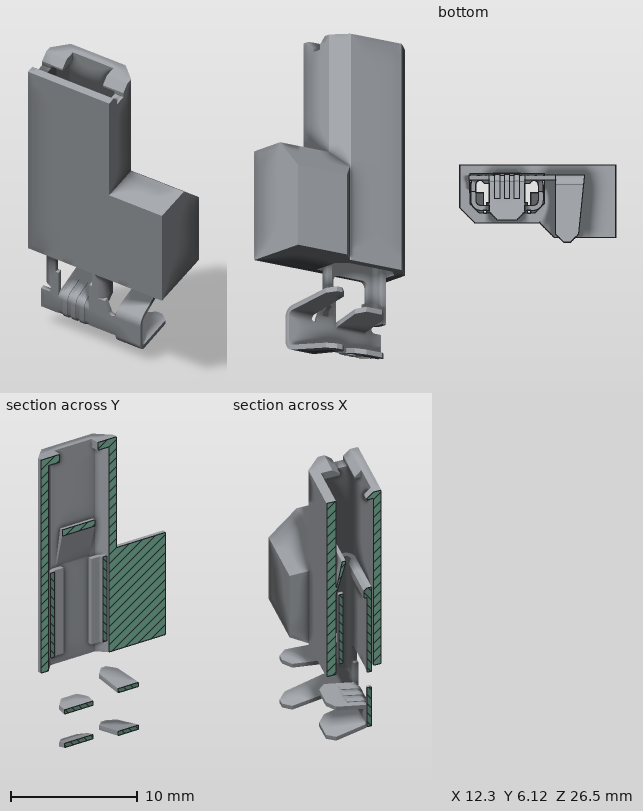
import cadquery as cq
import math

length_x = 12.32
top_z = 26.5
housing_bottom_z = 7.97
sleeve_width = 7.47
sleeve_depth = 4.6
sleeve_chamfer = 1.22
wall = 0.8
front_wall = 0.7
center_x = sleeve_width / 2

flange_top_z = 16.87
flange_depth = 5.75
flange_slope_y = sleeve_depth - sleeve_chamfer

top_web = 0.72
mouth_width = 3.7
slot_front_y = 1.25
slot_rear_y = 2.2
slot_depth = 0.98
lead_in = 0.55
lead_in_rear_y = 2.83
notch_width = 2.17

lance_width = 3.23
lance_height = 3.45
lance_front_y = 3.0
lance_thickness = 0.32

sheet = 0.4
terminal_front_y = 0.82
terminal_rear_y = terminal_front_y + sheet
receptacle_width = 5.72
receptacle_rear_y = 2.1
receptacle_radius = 0.8
receptacle_top_z = 16.42
roll_rear_y = 3.6
roll_bottom_z = 9.0
roll_gap = 2.75
receptacle_left_x = center_x - receptacle_width / 2
receptacle_right_x = center_x + receptacle_width / 2
left_leg_end_z = 4.1
right_leg_end_z = 4.77

strap_left_x = 0.72
strap_step_x = 6.95
relief_radius = 0.32

window_width = 3.35
window_top_z = 7.63
window_step_z = 5.8
window_radius = 0.48

ridge_rear_y = 1.48
ridge_width = 4.08
ridge_height = 1.05

wire_crimp_width = 2.83
wire_flat_half = 0.64
wire_bend_radius = 0.64
wire_ear_angle = math.radians(13)
wire_tip_y = 4.35
wire_tip_bevel = 0.64

rib_count = 3
rib_width = 0.42
rib_pitch = 0.77
rib_height = 0.08
rib_end_y = 2.65

jacket_left_x = strap_step_x + 2 * relief_radius
jacket_right_x = 9.85
jacket_flat_half = 0.95
jacket_bend_radius = 0.87
jacket_ear_angle = math.radians(9)
jacket_tip_y = 6.12
jacket_tip_bevel = 0.64
jacket_shoulder_right_x = 9.38


def box(x0, x1, y0, y1, z0, z1):
    """Axis-aligned block between two opposite corners."""
    return cq.Workplane("XY").box(x1 - x0, y1 - y0, z1 - z0, centered=False).translate((x0, y0, z0))


def prism_x(points, x0, x1):
    """Closed (y, z) outline extruded along X."""
    return cq.Workplane("YZ", origin=(x0, 0, 0)).polyline(points).close().extrude(x1 - x0)


def prism_z(points, z0, z1):
    """Closed (x, y) outline extruded along Z."""
    return cq.Workplane("XY", origin=(0, 0, z0)).polyline(points).close().extrude(z1 - z0)


def chamfered_outline(x0, x1, y0, y1, chamfer):
    """Rectangle with both rear corners chamfered."""
    return [
        (x0, y0),
        (x1, y0),
        (x1, y1 - chamfer),
        (x1 - chamfer, y1),
        (x0 + chamfer, y1),
        (x0, y1 - chamfer),
    ]


def make_flange():
    """Side block whose rear blends at 45 degrees into the sleeve and whose top slopes to the rear."""
    blend = flange_depth - sleeve_depth
    outline = [
        (sleeve_width - blend, 0),
        (length_x, 0),
        (length_x, flange_depth),
        (sleeve_width, flange_depth),
        (sleeve_width - blend, sleeve_depth),
    ]
    slope_drop = flange_depth - flange_slope_y
    slope = [
        (flange_slope_y, flange_top_z),
        (flange_depth, flange_top_z),
        (flange_depth, flange_top_z - slope_drop),
    ]
    block = prism_z(outline, housing_bottom_z, flange_top_z)
    return block.cut(prism_x(slope, 0, length_x))


def make_cavity():
    """Cavity open at the bottom, a constant wall thickness inside the sleeve's sides and rear."""
    inner_chamfer = sleeve_chamfer - wall * (2 - math.sqrt(2))
    outline = chamfered_outline(wall, sleeve_width - wall, front_wall, sleeve_depth - wall, inner_chamfer)
    return prism_z(outline, housing_bottom_z, top_z - top_web)


def make_tab_slot():
    """Slot across the top with lead-in slopes on both long edges."""
    lead_in_z = top_z - lead_in
    profile = [
        (front_wall, top_z),
        (slot_front_y, lead_in_z),
        (slot_front_y, top_z - slot_depth),
        (slot_rear_y, top_z - slot_depth),
        (slot_rear_y, lead_in_z),
        (lead_in_rear_y, top_z),
    ]
    return prism_x(profile, 0, sleeve_width)


def make_top_openings():
    """Mouth behind the slot and notch in front of it, both through the top web."""
    web_bottom_z = top_z - top_web
    mouth = box(center_x - mouth_width / 2, center_x + mouth_width / 2,
                slot_front_y, sleeve_depth - wall, web_bottom_z, top_z)
    notch = box(center_x - notch_width / 2, center_x + notch_width / 2,
                front_wall, slot_front_y, web_bottom_z, top_z)
    return mouth.union(notch)


def make_lance():
    """Latch above the receptacle that leans forward from the rear cavity wall."""
    root_y = sleeve_depth - wall
    lance_bottom_z = receptacle_top_z
    lance_top_z = lance_bottom_z + lance_height
    profile = [
        (root_y, lance_bottom_z),
        (lance_front_y, lance_top_z - lance_thickness),
        (lance_front_y, lance_top_z),
        (lance_front_y + lance_thickness, lance_top_z),
        (root_y, lance_bottom_z + 2 * lance_thickness),
    ]
    return prism_x(profile, center_x - lance_width / 2, center_x + lance_width / 2)


def make_housing():
    outline = chamfered_outline(0, sleeve_width, 0, sleeve_depth, sleeve_chamfer)
    body = prism_z(outline, housing_bottom_z, top_z).union(make_flange())
    body = body.cut(make_cavity()).cut(make_tab_slot()).cut(make_top_openings())
    return body.union(make_lance())


def ear_height(flat_half, bend_radius, angle, tip_y):
    """Distance from the crimp's middle to the outside of an ear at tip_y."""
    bend_end_y = terminal_front_y + bend_radius * (1 - math.sin(angle))
    return flat_half + bend_radius * math.cos(angle) + (tip_y - bend_end_y) * math.tan(angle)


crimp_z = ear_height(jacket_flat_half, jacket_bend_radius, jacket_ear_angle, jacket_tip_y)
strap_bottom_z = crimp_z - jacket_flat_half
strap_top_z = crimp_z + jacket_flat_half


def make_crimp(x0, x1, front_y, thickness, flat_half, bend_radius, angle, tip_y):
    """Open U barrel: a flat back, two bends and two ears that spread by the given angle."""
    bend_y = front_y + bend_radius

    def half_outline(radius):
        """Bend middle, bend end and tip of the upper half, for one face of the sheet."""
        sweep = math.pi / 2 - angle
        middle = (bend_y - radius * math.cos(sweep / 2), flat_half + radius * math.sin(sweep / 2))
        end = (bend_y - radius * math.cos(sweep), flat_half + radius * math.sin(sweep))
        tip = (tip_y, end[1] + (tip_y - end[0]) * math.tan(angle))
        return middle, end, tip

    def mirrored(point):
        return (point[0], -point[1])

    inner_radius = bend_radius - thickness
    rear_y = front_y + thickness
    outer_middle, outer_end, outer_tip = half_outline(bend_radius)
    inner_middle, inner_end, inner_tip = half_outline(inner_radius)
    return (
        cq.Workplane("YZ", origin=(x0, 0, crimp_z))
        .moveTo(front_y, -flat_half)
        .lineTo(front_y, flat_half)
        .threePointArc(outer_middle, outer_end)
        .lineTo(*outer_tip)
        .lineTo(*inner_tip)
        .lineTo(*inner_end)
        .threePointArc(inner_middle, (rear_y, flat_half))
        .lineTo(rear_y, -flat_half)
        .threePointArc(mirrored(inner_middle), mirrored(inner_end))
        .lineTo(*mirrored(inner_tip))
        .lineTo(*mirrored(outer_tip))
        .lineTo(*mirrored(outer_end))
        .threePointArc(mirrored(outer_middle), (front_y, -flat_half))
        .close()
        .extrude(x1 - x0)
    )


def make_wire_crimp():
    """Crimp for the bare wire, with bevelled ear tips and raised ribs around the outside."""
    x0 = center_x - wire_crimp_width / 2
    x1 = center_x + wire_crimp_width / 2
    crimp = make_crimp(x0, x1, terminal_front_y, sheet, wire_flat_half,
                       wire_bend_radius, wire_ear_angle, wire_tip_y)
    plan = chamfered_outline(x0, x1, 0, wire_tip_y, wire_tip_bevel)
    crimp = crimp.intersect(prism_z(plan, 0, 2 * crimp_z))
    for index in range(rib_count):
        rib_x = center_x + (index - (rib_count - 1) / 2) * rib_pitch
        rib = make_crimp(rib_x - rib_width / 2, rib_x + rib_width / 2, terminal_front_y - rib_height,
                         sheet, wire_flat_half, wire_bend_radius + rib_height,
                         wire_ear_angle, rib_end_y)
        crimp = crimp.union(rib)
    return crimp


def make_jacket_crimp():
    """Crimp for the wire insulation, with ears that narrow on one side and end in bevels."""
    crimp = make_crimp(jacket_left_x, jacket_right_x, terminal_front_y, sheet, jacket_flat_half,
                       jacket_bend_radius, jacket_ear_angle, jacket_tip_y)
    shoulder_y = jacket_tip_y - jacket_tip_bevel
    plan = [
        (jacket_left_x, terminal_front_y),
        (jacket_right_x, terminal_front_y),
        (jacket_shoulder_right_x, shoulder_y),
        (jacket_shoulder_right_x - jacket_tip_bevel, jacket_tip_y),
        (jacket_left_x + jacket_tip_bevel, jacket_tip_y),
        (jacket_left_x, shoulder_y),
    ]
    return crimp.intersect(prism_z(plan, 0, 2 * crimp_z))


def make_channel():
    """U-shaped receptacle; the left leg is cut square and the right leg runs out along a slope."""
    outer = box(receptacle_left_x, receptacle_right_x, terminal_front_y, receptacle_rear_y,
                strap_top_z, receptacle_top_z)
    outer = outer.edges("|Z and <Y").fillet(receptacle_radius)
    inner = box(receptacle_left_x + sheet, receptacle_right_x - sheet, terminal_rear_y,
                receptacle_rear_y, strap_top_z, receptacle_top_z)
    channel = outer.cut(inner.edges("|Z and <Y").fillet(receptacle_radius - sheet))

    left_end = box(receptacle_left_x, receptacle_left_x + receptacle_radius, terminal_front_y,
                   receptacle_rear_y, strap_top_z, left_leg_end_z)
    run_out_z = strap_top_z + relief_radius
    run_out = [
        (terminal_front_y, strap_top_z),
        (terminal_front_y, run_out_z),
        (receptacle_rear_y, right_leg_end_z),
        (receptacle_rear_y, strap_top_z),
    ]
    right_end = prism_x(run_out, center_x, receptacle_right_x)
    return channel.cut(left_end).cut(right_end)


def make_rolls():
    """Upper part of the receptacle, where both legs roll inwards to clasp the mating tab."""
    outer = box(receptacle_left_x, receptacle_right_x, terminal_front_y, roll_rear_y,
                roll_bottom_z, receptacle_top_z)
    inner = box(receptacle_left_x + sheet, receptacle_right_x - sheet, terminal_rear_y,
                roll_rear_y - sheet, roll_bottom_z, receptacle_top_z)
    shell = outer.edges("|Z").fillet(receptacle_radius)
    shell = shell.cut(inner.edges("|Z").fillet(receptacle_radius - sheet))
    gap = box(center_x - roll_gap / 2, center_x + roll_gap / 2, terminal_rear_y, roll_rear_y,
              roll_bottom_z, receptacle_top_z)
    return shell.cut(gap)


def make_strap():
    """Flat strap below the receptacle, with round reliefs beside the left leg and the jacket crimp."""
    shoulder_z = strap_top_z + relief_radius
    left_relief_x = receptacle_left_x + receptacle_radius - relief_radius
    outline = [
        (strap_left_x, strap_bottom_z),
        (jacket_left_x, strap_bottom_z),
        (jacket_left_x, shoulder_z),
        (strap_step_x, shoulder_z),
        (receptacle_right_x, right_leg_end_z),
        (receptacle_left_x + receptacle_radius, right_leg_end_z),
        (receptacle_left_x + receptacle_radius, left_leg_end_z),
        (left_relief_x, left_leg_end_z),
        (left_relief_x, strap_top_z),
        (strap_left_x, strap_top_z),
    ]
    plane = cq.Workplane("XZ", origin=(0, terminal_rear_y, 0))
    strap = plane.polyline(outline).close().extrude(sheet)
    reliefs = (
        plane.pushPoints([(left_relief_x, shoulder_z), (strap_step_x + relief_radius, shoulder_z)])
        .circle(relief_radius)
        .extrude(sheet)
    )
    return strap.cut(reliefs)


def make_window():
    """Window between receptacle and wire crimp: rounded on top, as narrow as the crimp below."""
    head = box(center_x - window_width / 2, center_x + window_width / 2,
               terminal_front_y, terminal_rear_y, window_step_z, window_top_z)
    head = head.edges("|Y and >Z").fillet(window_radius)
    throat = box(center_x - wire_crimp_width / 2, center_x + wire_crimp_width / 2,
                 terminal_front_y, terminal_rear_y, strap_bottom_z, window_step_z)
    return head.union(throat)


def make_contact_ridge():
    """Ridge across the receptacle floor with bevelled ends and a sloped upper side."""
    rise = ridge_rear_y - terminal_rear_y
    x0 = center_x - ridge_width / 2
    x1 = center_x + ridge_width / 2
    bottom_z = receptacle_top_z - ridge_height
    side_profile = [
        (terminal_rear_y, bottom_z),
        (terminal_rear_y, receptacle_top_z),
        (ridge_rear_y, receptacle_top_z - rise),
        (ridge_rear_y, bottom_z),
    ]
    plan = [
        (x0, terminal_rear_y),
        (x1, terminal_rear_y),
        (x1 - rise, ridge_rear_y),
        (x0 + rise, ridge_rear_y),
    ]
    return prism_x(side_profile, x0, x1).intersect(prism_z(plan, bottom_z, receptacle_top_z))


def make_terminal():
    plate = make_channel().union(make_rolls()).union(make_strap()).cut(make_window())
    plate = plate.union(make_contact_ridge())
    return plate.union(make_wire_crimp()).union(make_jacket_crimp())


housing = make_housing()
terminal = make_terminal()
result = cq.Compound.makeCompound([housing.val(), terminal.val()])